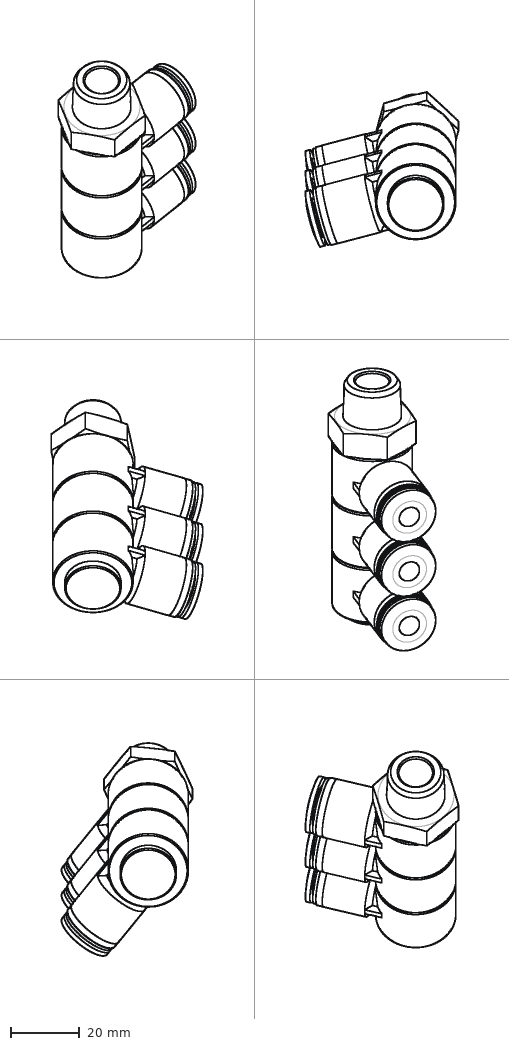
import cadquery as cq
import math

total_height = 76.7

module_count = 3
module_pitch = 18.0
body_radius = 23.4 / 2
body_chamfer_height = 0.45
body_chamfer_width = 0.4

plug_height = 2.5
plug_radius = 16.4 / 2
plug_chamfer = 0.4

hex_across_flats = 22.5
hex_height = 8.3
hex_corner_radius = hex_across_flats / math.sqrt(3)
hex_face_radius = 11.05
hex_corner_drop = 0.45

thread_tip_radius = 16.4 / 2
thread_root_radius = 17.0 / 2
thread_face_radius = 7.3
thread_chamfer_height = 1.45

inlet_radius = 9.8 / 2
inlet_chamfer = 0.45
bore_radius = 6.2 / 2
inlet_cone_angle = 59

port_radius = 17.5 / 2
port_neck_radius = 13.5 / 2
port_neck_end = 11.2
port_shoulder = 13.0
port_cap_start = 25.8
port_cap_end = 27.8
port_cap_radius = 17.4 / 2
collar_radius = 16.9 / 2
collar_end = 28.7
release_neck_radius = 10.9 / 2
release_neck_flare = 0.4
release_neck_flare_start = 29.15
release_flange_start = 29.6
release_rim_end = 31.0
release_flange_radius = 16.8 / 2
release_face_radius = 5.2
port_reach = 31.6

web_thickness = 2.0

body_top = plug_height + module_count * module_pitch
hex_top = body_top + hex_height
port_heights = [plug_height + (i + 0.5) * module_pitch for i in range(module_count)]


def turned_about_z(points):
    """Revolve a closed (radius, height) outline about the main axis."""
    return cq.Workplane("XZ").polyline(points).close().revolve(360, (0, 0), (0, 1))


def make_plug():
    return (
        cq.Workplane("XY")
        .circle(plug_radius)
        .extrude(plug_height)
        .faces("<Z")
        .chamfer(plug_chamfer)
    )


def make_module(base):
    """Body cylinder with a small chamfer on both end edges."""
    top = base + module_pitch
    end_radius = body_radius - body_chamfer_width
    return turned_about_z([
        (0, base),
        (end_radius, base),
        (body_radius, base + body_chamfer_height),
        (body_radius, top - body_chamfer_height),
        (end_radius, top),
        (0, top),
    ])


def make_hexagon():
    """Hexagon with its corners turned down to shallow cones on both faces."""
    prism = (
        cq.Workplane("XY", origin=(0, 0, body_top))
        .polygon(6, 2 * hex_corner_radius)
        .extrude(hex_height)
        .rotate((0, 0, 0), (0, 0, 1), 30)
    )
    envelope = turned_about_z([
        (0, body_top),
        (hex_face_radius, body_top),
        (hex_corner_radius, body_top + hex_corner_drop),
        (hex_corner_radius, hex_top - hex_corner_drop),
        (hex_face_radius, hex_top),
        (0, hex_top),
    ])
    return prism.intersect(envelope)


def make_thread():
    return turned_about_z([
        (0, hex_top),
        (thread_root_radius, hex_top),
        (thread_tip_radius, total_height - thread_chamfer_height),
        (thread_face_radius, total_height),
        (0, total_height),
    ])


def make_port(height):
    """Side port along +Y with its release ring and the web on its neck."""
    port = (
        cq.Workplane("XY")
        .moveTo(0, 0)
        .lineTo(port_neck_radius, 0)
        .lineTo(port_neck_radius, port_neck_end)
        .lineTo(port_radius, port_shoulder)
        .lineTo(port_radius, port_cap_start)
        .lineTo(port_cap_radius, port_cap_start)
        .lineTo(port_cap_radius, port_cap_end)
        .lineTo(collar_radius, port_cap_end)
        .lineTo(collar_radius, collar_end)
        .lineTo(release_neck_radius, collar_end)
        .lineTo(release_neck_radius, release_neck_flare_start)
        .lineTo(release_neck_radius + release_neck_flare, release_flange_start)
        .lineTo(release_flange_radius, release_flange_start)
        .lineTo(release_flange_radius, release_rim_end)
        .lineTo(release_face_radius, port_reach)
        .lineTo(0, port_reach)
        .close()
        .revolve(360, (0, 0), (0, 1))
    )
    web = cq.Workplane("XY").box(
        2 * port_radius, port_shoulder, web_thickness, centered=(True, False, True)
    )
    return port.union(web).translate((0, 0, height))


def make_main_bore():
    """Stepped bore from the thread down to a round elbow at the lowest port."""
    step_height = (inlet_radius - bore_radius) / math.tan(math.radians(inlet_cone_angle))
    bore = turned_about_z([
        (0, port_heights[0]),
        (bore_radius, port_heights[0]),
        (bore_radius, body_top - step_height),
        (inlet_radius, body_top),
        (inlet_radius, total_height - inlet_chamfer),
        (inlet_radius + inlet_chamfer, total_height),
        (0, total_height),
    ])
    elbow = cq.Workplane("XY").sphere(bore_radius).translate((0, 0, port_heights[0]))
    return bore.union(elbow)


def make_port_bore(height):
    return cq.Workplane("XZ", origin=(0, 0, height)).circle(bore_radius).extrude(-port_reach)


result = make_plug().union(make_hexagon()).union(make_thread())
for index, port_height in enumerate(port_heights):
    result = result.union(make_module(plug_height + index * module_pitch))
    result = result.union(make_port(port_height))

result = result.cut(make_main_bore())
for port_height in port_heights:
    result = result.cut(make_port_bore(port_height))